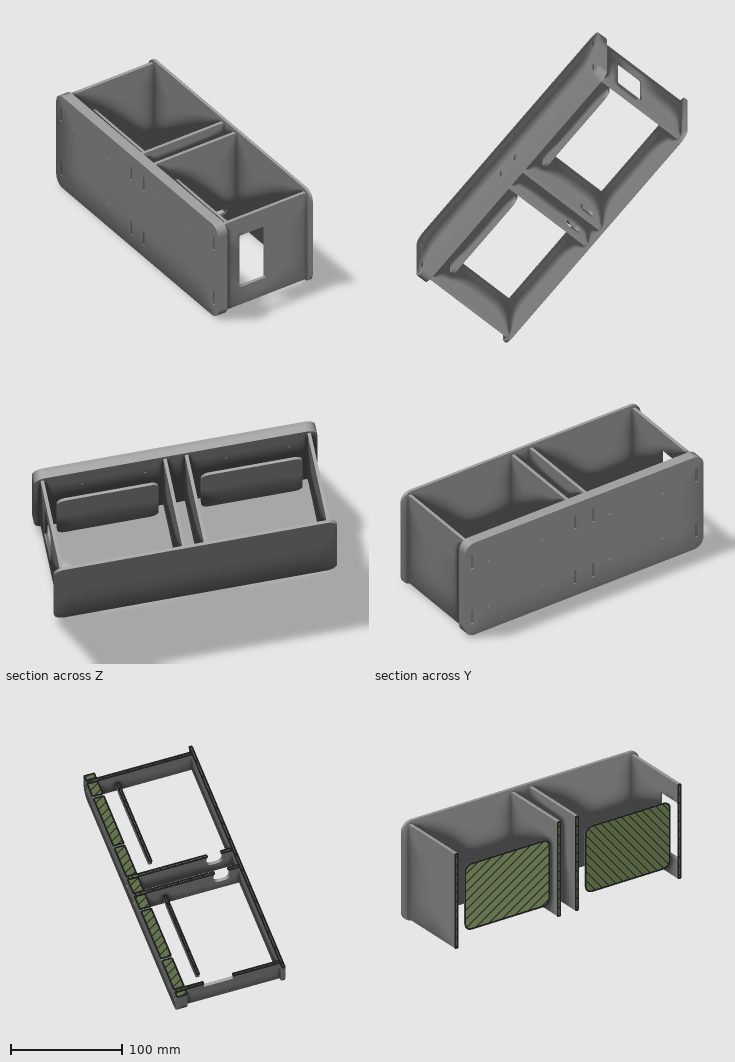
import cadquery as cq

PLATE_LENGTH = 260
PLATE_HEIGHT = 100.0
PLATE_CORNER_RADIUS = 10.0
FRONT_THICKNESS = 10.1
BACK_THICKNESS = 2.9
TOTAL_DEPTH = 103.0
PLATE_GAP = TOTAL_DEPTH - FRONT_THICKNESS - BACK_THICKNESS
BACK_PLATE_Y = FRONT_THICKNESS + PLATE_GAP

PANEL_THICKNESS = 3.0
PANEL_HEIGHT = 95.0
PANEL_CORNER_RADIUS = 1.3
OUTER_PANEL_X = 122.5
INNER_PANEL_X = 10.0

TAB_HEIGHT = 15.0
TAB_SPACING = 59.8
TAB_RECESS = 1.3
TAB_LENGTH = FRONT_THICKNESS - TAB_RECESS

BAY_X = (OUTER_PANEL_X + INNER_PANEL_X) / 2
SCREW_HOLE_DIAMETER = 2.1
SCREW_SPACING_X = 58.0
SCREW_SPACING_Z = 49.0
SCREW_OFFSET_X = -9.4

BOARD_LENGTH = 93.0
BOARD_HEIGHT = 66.0
BOARD_THICKNESS = 2.5
BOARD_CORNER_RADIUS = 7.3
BOARD_STANDOFF = 14.8
BOARD_OFFSET_X = -0.5
BOARD_Y = FRONT_THICKNESS + BOARD_STANDOFF

WINDOW_WIDTH = 28.0
WINDOW_HEIGHT = 56.7
WINDOW_Y = BOARD_Y + BOARD_THICKNESS
WINDOW_CORNER_RADIUS = 1.3

CABLE_OPENING_SIZE = 15.0
CABLE_OPENING_RADIUS = 5.0
CABLE_OPENING_BACK_MARGIN = 9.5
CABLE_OPENING_TOP_Z = -22.4
CABLE_OPENING_Y = BACK_PLATE_Y - CABLE_OPENING_BACK_MARGIN - CABLE_OPENING_SIZE
CABLE_OPENING_Z = CABLE_OPENING_TOP_Z - CABLE_OPENING_SIZE / 2


def block(length, depth, height, x, y, z):
    """Box centred on x and z that starts at y and runs backwards."""
    return cq.Workplane("XY").box(length, depth, height, centered=(True, False, True)).translate((x, y, z))


def rounded_plate(length, height, thickness, radius, x, y):
    """Upright plate with its four corners rounded."""
    return block(length, thickness, height, x, y, 0).edges("|Y").fillet(radius)


def tab_blocks(x, y, depth):
    """Pair of blocks in line with the panel at x, for its tabs or their slots."""
    return [block(PANEL_THICKNESS, depth, TAB_HEIGHT, x, y, z) for z in (-TAB_SPACING / 2, TAB_SPACING / 2)]


def make_front_plate(panel_positions, bay_positions):
    plate = rounded_plate(PLATE_LENGTH, PLATE_HEIGHT, FRONT_THICKNESS, PLATE_CORNER_RADIUS, 0, 0)
    for panel_x in panel_positions:
        for slot in tab_blocks(panel_x, 0, FRONT_THICKNESS):
            plate = plate.cut(slot)
    for bay_x in bay_positions:
        holes = (
            cq.Workplane("XZ")
            .center(bay_x + SCREW_OFFSET_X, 0)
            .rect(SCREW_SPACING_X, SCREW_SPACING_Z, forConstruction=True)
            .vertices()
            .circle(SCREW_HOLE_DIAMETER / 2)
            .extrude(-FRONT_THICKNESS)
        )
        plate = plate.cut(holes)
    return plate


def make_back_plate():
    return rounded_plate(
        PLATE_LENGTH, PLATE_HEIGHT, BACK_THICKNESS, PLATE_CORNER_RADIUS, 0, BACK_PLATE_Y
    )


def make_panel(x):
    panel = block(PANEL_THICKNESS, PLATE_GAP, PANEL_HEIGHT, x, FRONT_THICKNESS, 0)
    panel = panel.edges("|X").fillet(PANEL_CORNER_RADIUS)
    for tab in tab_blocks(x, TAB_RECESS, TAB_LENGTH):
        panel = panel.union(tab)
    return panel


def panel_opening(width, height, radius, x, y, z):
    """Block with rounded corners that cuts an opening through the panel at x."""
    return block(PANEL_THICKNESS, width, height, x, y, z).edges("|X").fillet(radius)


def make_inner_panel(x):
    opening = panel_opening(
        CABLE_OPENING_SIZE, CABLE_OPENING_SIZE, CABLE_OPENING_RADIUS, x, CABLE_OPENING_Y, CABLE_OPENING_Z
    )
    return make_panel(x).cut(opening)


def make_windowed_outer_panel(x):
    window = panel_opening(WINDOW_WIDTH, WINDOW_HEIGHT, WINDOW_CORNER_RADIUS, x, WINDOW_Y, 0)
    return make_panel(x).cut(window)


def make_board(bay_x):
    board_x = bay_x + BOARD_OFFSET_X
    return rounded_plate(BOARD_LENGTH, BOARD_HEIGHT, BOARD_THICKNESS, BOARD_CORNER_RADIUS, board_x, BOARD_Y)


panel_positions = (-OUTER_PANEL_X, -INNER_PANEL_X, INNER_PANEL_X, OUTER_PANEL_X)
bay_positions = (-BAY_X, BAY_X)

front_plate = make_front_plate(panel_positions, bay_positions)
back_plate = make_back_plate()
left_panel = make_panel(-OUTER_PANEL_X)
inner_panels = [make_inner_panel(x) for x in (-INNER_PANEL_X, INNER_PANEL_X)]
right_panel = make_windowed_outer_panel(OUTER_PANEL_X)
boards = [make_board(bay_x) for bay_x in bay_positions]

result = cq.Compound.makeCompound([
    front_plate.val(),
    back_plate.val(),
    left_panel.val(),
    *[panel.val() for panel in inner_panels],
    right_panel.val(),
    *[board.val() for board in boards],
])